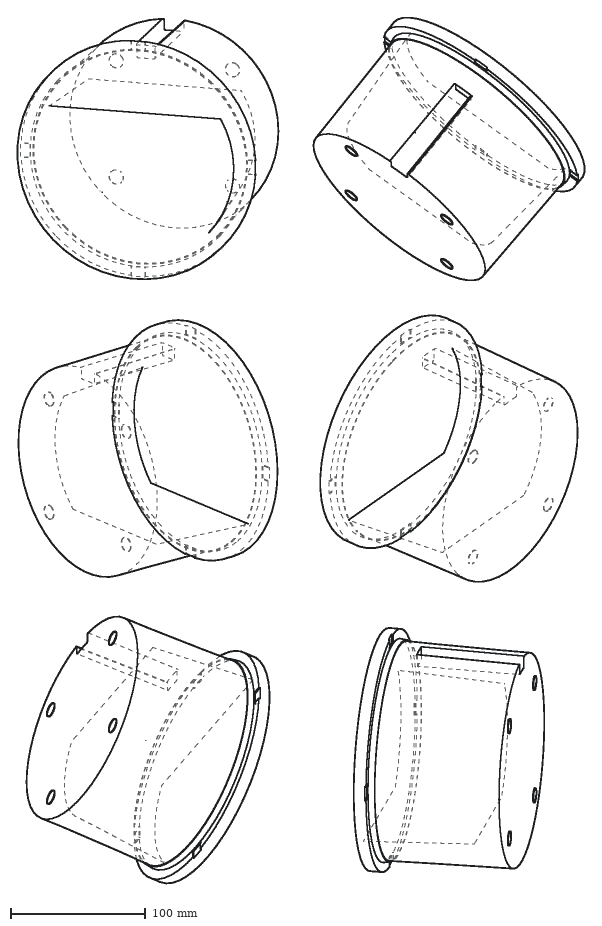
import cadquery as cq


overall_depth = 109.0
pad_height = 0.5
housing_depth = overall_depth - pad_height

flange_radius = 90.9
flange_thickness = 9.5
flange_front_fillet = 0.5
collar_end = 14.4
collar_front_radius = 83.6
collar_rear_radius = 82.9
body_front_radius = 82.1
body_rear_radius = 80.7

notch_width = 10.9
notch_depth = 1.0
notch_count = 4

mouth_radius = 76.3
mouth_ceiling = 38.0
mouth_floor = -51.0
mouth_fillet = 0.5
lip_depth = 3.3
cavity_depth = 82.7
cavity_fillet = 0.45
cavity_rear_radius = 69.6
cavity_rear_ceiling = 37.0
cavity_rear_floor = -50.0

slot_front = 30.5
slot_front_width = 13.8
slot_rear_width = 15.0
slot_floor_radius = 71.8
slot_fillet = 1.2

pad_diameter = 10.9
pad_offset = 44.9

pick_margin = 0.2


def revolve_about_y(profile):
    """Full turn about Y of an outline given as (radius, y) points."""
    return cq.Workplane("XY").polyline(profile).close().revolve(360, (0, 0, 0), (0, 1, 0))


def make_outer_shape():
    outer = revolve_about_y(
        [
            (0, 0),
            (flange_radius, 0),
            (flange_radius, flange_thickness),
            (collar_front_radius, flange_thickness),
            (collar_rear_radius, collar_end),
            (body_front_radius, collar_end),
            (body_rear_radius, housing_depth),
            (0, housing_depth),
        ]
    )
    return outer.faces("<Y").edges().fillet(flange_front_fillet)


def make_cavity():
    round_wall = revolve_about_y(
        [
            (0, 0),
            (mouth_radius, 0),
            (mouth_radius, lip_depth),
            (cavity_rear_radius, cavity_depth),
            (0, cavity_depth),
        ]
    )
    flat_walls = (
        cq.Workplane("YZ")
        .polyline(
            [
                (0, mouth_floor),
                (lip_depth, mouth_floor),
                (cavity_depth, cavity_rear_floor),
                (cavity_depth, cavity_rear_ceiling),
                (lip_depth, mouth_ceiling),
                (0, mouth_ceiling),
            ]
        )
        .close()
        .extrude(flange_radius, both=True)
    )
    cavity = round_wall.intersect(flat_walls)
    inner_edges = cq.selectors.BoxSelector(
        (-flange_radius, lip_depth + pick_margin, -flange_radius),
        (flange_radius, housing_depth, flange_radius),
    )
    return cavity.edges(inner_edges).fillet(cavity_fillet)


def make_slot():
    plan = (
        cq.Workplane("XY")
        .polyline(
            [
                (-slot_front_width / 2, slot_front),
                (slot_front_width / 2, slot_front),
                (slot_rear_width / 2, housing_depth),
                (-slot_rear_width / 2, housing_depth),
            ]
        )
        .close()
        .extrude(flange_radius)
    )
    core = revolve_about_y(
        [
            (0, 0),
            (slot_floor_radius, 0),
            (slot_floor_radius, overall_depth),
            (0, overall_depth),
        ]
    )
    slot = plan.cut(core)
    floor_edges = cq.selectors.BoxSelector(
        (-slot_rear_width, slot_front + pick_margin, 0),
        (slot_rear_width, housing_depth - pick_margin, slot_floor_radius),
    )
    return slot.edges(floor_edges).fillet(slot_fillet)


def cut_flange_notches(housing):
    notch = cq.Workplane("XY").box(
        notch_width, notch_depth, flange_radius - collar_front_radius, centered=(True, False, False)
    ).translate((0, flange_thickness - notch_depth, collar_front_radius))
    for index in range(notch_count):
        housing = housing.cut(notch.rotate((0, 0, 0), (0, 1, 0), index * 360 / notch_count))
    return housing


def round_mouth_edge(housing):
    mouth_edges = cq.selectors.BoxSelector(
        (-mouth_radius - pick_margin, -pick_margin, mouth_floor - pick_margin),
        (mouth_radius + pick_margin, pick_margin, mouth_ceiling + pick_margin),
        boundingbox=True,
    )
    return housing.edges(mouth_edges).fillet(mouth_fillet)


def cut_slot(housing):
    housing = housing.cut(make_slot())
    rim_edges = cq.selectors.BoxSelector(
        (-slot_rear_width, slot_front + pick_margin, slot_floor_radius + 2 * slot_fillet),
        (slot_rear_width, housing_depth - pick_margin, flange_radius),
    )
    return housing.edges(rim_edges).fillet(slot_fillet)


def make_housing():
    housing = make_outer_shape().cut(make_cavity())
    housing = round_mouth_edge(housing)
    housing = cut_slot(housing)
    return cut_flange_notches(housing)


def make_pad(x, z):
    return (
        cq.Workplane("XZ", origin=(x, housing_depth, z))
        .circle(pad_diameter / 2)
        .extrude(-pad_height)
    )


housing = make_housing()
pads = [make_pad(x, z) for x in (-pad_offset, pad_offset) for z in (-pad_offset, pad_offset)]

result = cq.Compound.makeCompound([housing.val(), *(pad.val() for pad in pads)])